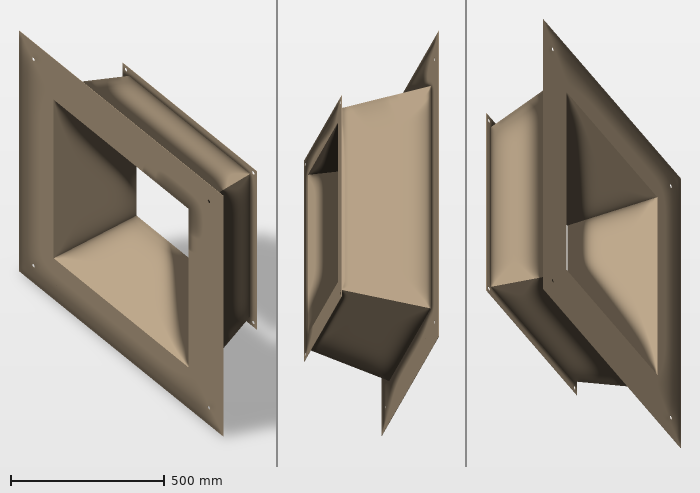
import cadquery as cq

plate_side = 1050.0
depth = 290.0
sheet = 1.0
casing_front_side = 764.0
casing_back_side = 622.0
opening_front_side = 692.0
opening_back_side = 547.0
back_flange_width = 35.0
plate_hole_inset = 75.0
plate_hole_diameter = 13.0
flange_hole_inset = 19.0
flange_hole_diameter = 13.0

back_flange_side = casing_back_side + 2 * back_flange_width
cavity_front_side = casing_front_side - 2 * sheet
cavity_back_side = casing_back_side - 2 * sheet


def square_section(side, y):
    """Square centred on the duct axis, in the plane at the given Y."""
    return cq.Workplane("XZ", origin=(0, y, 0)).rect(side, side)


def square_frustum(front_side, back_side):
    """Solid tapered square block over the full depth of the duct."""
    return square_section(front_side, 0).workplane(offset=-depth).rect(back_side, back_side).loft(ruled=True)


def drilled_plate(side, y, hole_inset, hole_diameter):
    """Square sheet from y towards +Y with a hole near each corner."""
    hole_pitch = side - 2 * hole_inset
    plate = square_section(side, y).extrude(-sheet)
    holes = (
        cq.Workplane("XZ", origin=(0, y, 0))
        .rect(hole_pitch, hole_pitch, forConstruction=True)
        .vertices()
        .circle(hole_diameter / 2)
        .extrude(-sheet)
    )
    return plate.cut(holes)


def make_casing():
    """Tapered sheet duct with a wide front plate and a narrow back flange."""
    front_plate = drilled_plate(plate_side, 0, plate_hole_inset, plate_hole_diameter)
    back_flange = drilled_plate(back_flange_side, depth - sheet, flange_hole_inset, flange_hole_diameter)
    walls = square_frustum(casing_front_side, casing_back_side)
    cavity = square_frustum(cavity_front_side, cavity_back_side)
    return front_plate.union(back_flange).union(walls).cut(cavity)


def make_lining():
    """Thick tapered lining that fills the casing around the central opening."""
    body = square_frustum(cavity_front_side, cavity_back_side)
    opening = square_frustum(opening_front_side, opening_back_side)
    return body.cut(opening)


casing = make_casing()
lining = make_lining()

result = cq.Compound.makeCompound([casing.val(), lining.val()])